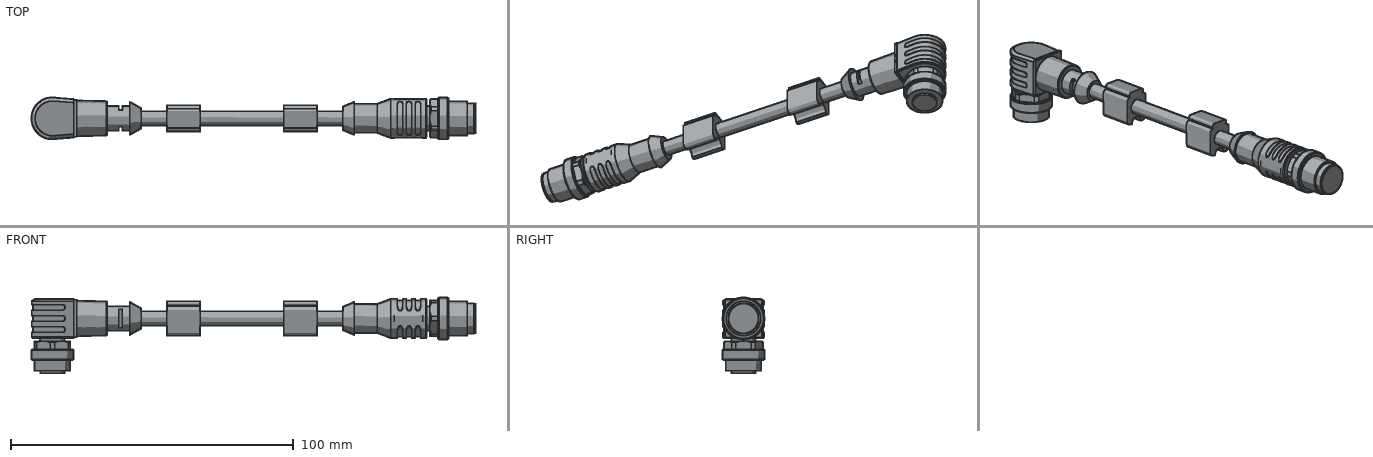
import cadquery as cq
import math

LENGTH = 157.1
CABLE_D = 5.2

NUT_D = 15.0
HEAD_X = NUT_D / 2
HEAD_R = 7.4
HEAD_HALF_H = 6.9
HEAD_END_X = 16.0
HEAD_END_HALF_W = 6.8
HEAD_LIP = 1.0
HEAD_LIP_INSET = 0.24
HEAD_TOP_RUN = 1.3
HEAD_TOP_DROP = 0.8
HEAD_BOTTOM_CHAMFER = 0.4

GRIP_DEPTH = 0.5
GRIP_ROUND = 0.3
HEAD_GROOVE_W = 1.96
HEAD_GROOVE_PITCH = 4.0
HEAD_GROOVE_END_X = 12.0

SLEEVE_D = 12.7
SLEEVE_TIP_D = 12.3
SLEEVE_END_X = 26.9
SLEEVE_CHAMFER = 0.3
RELIEF_D = 8.8
FLANGE_D = 11.8
FLANGE_X = 34.7
FLANGE_TIP_D = 7.2
FLANGE_TIP_X = 38.8
NOTCH_X = 31.0
NOTCH_W = 1.3
NOTCH_HALF_GAP = 3.0

HEX_FLATS = 12.7
HEX_CORNER_D = 13.8
HEX_CHAMFER = 0.5
NUT_CHAMFER = 0.4
NECK_D = 8.8

F_HEX_TOP = -8.0
F_RING_TOP = -10.8
F_RING_BOTTOM = -14.8
F_SHELL_D = 12.7
F_SHELL_BOTTOM = -18.5
F_INSERT_D = 8.6
F_BOTTOM = -19.4

CLIP_STARTS = (47.9, 89.2)
CLIP_LENGTH = 11.8
CLIP_HALF_W = 4.7
CLIP_HALF_H = 6.1
CLIP_LOWER_R = 1.9
CLIP_ARCH_R = 2.2
CLIP_SHOULDER_Z = 4.2
CLIP_SHOULDER_R = 1.4
CLIP_LID_Z = 4.7
CLIP_LID_HALF_W = 3.5
CLIP_LID_R = 1.0

M_START = 110.1
M_START_D = 8.3
M_COLLAR = 114.2
M_COLLAR_D = 11.8
M_BARREL_D = 10.4
M_CONE = 122.4
M_GRIP = 127.1
M_GRIP_D = 14.0
M_GRIP_END = 139.8
M_GRIP_CHAMFER = 0.4
M_HEX = 140.9
M_RING = 143.7
M_SHELL = 147.5
M_SHELL_D = 12.3
M_PIN_SLEEVE = 154.1
M_PIN_SLEEVE_D = 10.8
M_LIP = 156.5
M_LIP_D = 10.5

M_GROOVE_MID = 133.5
M_GROOVE_PITCH = 3.1
M_GROOVE_W = 1.9
M_GROOVE_HALF_LENGTH = 6.0
FLAT_START = 128.4
FLAT_LENGTH = 10.0
FLAT_W = 1.9


def turned_x(stations):
    """Solid of revolution about the X axis from (x, diameter) stations."""
    radii = [(x, d / 2) for x, d in stations]
    outline = [(radii[0][0], 0)] + radii + [(radii[-1][0], 0)]
    return cq.Workplane("XY").polyline(outline).close().revolve(360, (0, 0, 0), (1, 0, 0))


def disc(diameter, start, length):
    return cq.Workplane("XY").workplane(offset=start).circle(diameter / 2).extrude(length)


def coupling_nut(hex_length, ring_length):
    """Nut on +Z: chamfered hexagon from z = 0, with two flats across X, then the ring."""
    across_corners = HEX_FLATS / math.cos(math.pi / 6)
    hexagon = (
        cq.Workplane("XY")
        .polygon(6, across_corners)
        .extrude(hex_length)
        .rotate((0, 0, 0), (0, 0, 1), 30)
    )
    corners = disc(HEX_CORNER_D, 0, hex_length).faces("<Z").chamfer(HEX_CHAMFER)
    ring = disc(NUT_D, hex_length, ring_length).edges().chamfer(NUT_CHAMFER)
    return hexagon.intersect(corners).union(ring)


HEAD_REACH = HEAD_END_X - HEAD_X
HEAD_TANGENT = math.atan2(HEAD_END_HALF_W, HEAD_REACH) + math.acos(
    HEAD_R / math.hypot(HEAD_REACH, HEAD_END_HALF_W)
)


def head_plan(inset, end_x):
    """Closed plan of the head: round at -X, with tapered sides tangent to the arc."""
    radius = HEAD_R - inset
    touch_x = HEAD_X + radius * math.cos(HEAD_TANGENT)
    touch_y = radius * math.sin(HEAD_TANGENT)
    end_y = touch_y - (end_x - touch_x) / math.tan(HEAD_TANGENT)
    return (
        cq.Workplane("XY")
        .moveTo(end_x, -end_y)
        .lineTo(touch_x, -touch_y)
        .threePointArc((HEAD_X - radius, 0), (touch_x, touch_y))
        .lineTo(end_x, end_y)
        .close()
    )


def head_grooves():
    """Three round-ended grooves that wrap around the head."""
    start_x = -HEAD_R
    length = HEAD_GROOVE_END_X - start_x
    cutter = (
        cq.Workplane("XZ")
        .pushPoints([(start_x + length / 2, i * HEAD_GROOVE_PITCH) for i in (-1, 0, 1)])
        .slot2D(length, HEAD_GROOVE_W)
        .extrude(HEAD_R + 1.5, both=True)
    )
    core = head_plan(GRIP_DEPTH, HEAD_END_X).extrude(HEAD_HALF_H, both=True)
    return cutter.cut(core)


def round_rims(solid, is_rim):
    """Round the groove rims: the edges whose middle point meets the test."""
    rims = [edge for edge in solid.edges("not |Z").vals() if is_rim(edge.positionAt(0.5))]
    return solid.newObject(rims).fillet(GRIP_ROUND)


def is_head_rim(point):
    """True on the outer skin of the head, clear of its top and bottom."""
    if abs(point.z) > HEAD_GROOVE_PITCH + HEAD_GROOVE_W:
        return False
    dx = point.x - HEAD_X
    dy = abs(point.y)
    on_round = math.atan2(dy, dx) > HEAD_TANGENT
    if on_round:
        skin_distance = math.hypot(dx, dy)
    else:
        skin_distance = dx * math.cos(HEAD_TANGENT) + dy * math.sin(HEAD_TANGENT)
    return skin_distance > HEAD_R - GRIP_DEPTH / 2


def is_male_rim(point):
    """True on the outer skin of the male grip, above or below its flats and between its ends."""
    between_ends = M_GRIP < point.x - GRIP_ROUND and point.x + GRIP_ROUND < M_GRIP_END
    on_skin = math.hypot(point.y, point.z) > M_GRIP_D / 2 - GRIP_DEPTH / 2
    return between_ends and on_skin and abs(point.z) > FLAT_W


def head():
    height = 2 * HEAD_HALF_H
    body_end = HEAD_END_X - HEAD_LIP
    body = head_plan(0, body_end).extrude(height).translate((0, 0, -HEAD_HALF_H))
    body = body.faces(">Z").edges("not >X").chamfer(HEAD_TOP_DROP, HEAD_TOP_RUN)
    body = body.faces("<Z").edges("not >X").chamfer(HEAD_BOTTOM_CHAMFER)
    body = round_rims(body.cut(head_grooves()), is_head_rim)
    lip_w = 2 * (HEAD_END_HALF_W - HEAD_LIP_INSET)
    lip = (
        cq.Workplane("XY")
        .box(HEAD_LIP, lip_w, height - 2 * HEAD_LIP_INSET, centered=(False, True, True))
        .translate((body_end, 0, 0))
    )
    return body.union(lip)


def female_relief():
    """Conical sleeve, slim neck and flared flange between the head and the cable."""
    relief = turned_x([
        (HEAD_X, SLEEVE_D),
        (HEAD_END_X, SLEEVE_D),
        (SLEEVE_END_X - SLEEVE_CHAMFER, SLEEVE_TIP_D),
        (SLEEVE_END_X, SLEEVE_TIP_D - 2 * SLEEVE_CHAMFER),
        (SLEEVE_END_X, RELIEF_D),
        (FLANGE_X, RELIEF_D),
        (FLANGE_X, FLANGE_D),
        (FLANGE_TIP_X, FLANGE_TIP_D),
    ])
    for side in (-1, 1):
        notch = cq.Workplane("XY").box(NOTCH_W, RELIEF_D, RELIEF_D, centered=(False, True, True))
        relief = relief.cut(notch.translate((NOTCH_X, side * (NOTCH_HALF_GAP + RELIEF_D / 2), 0)))
    return relief


def female_nut():
    nut = coupling_nut(F_HEX_TOP - F_RING_TOP, F_RING_TOP - F_RING_BOTTOM)
    nut = nut.rotate((0, 0, 0), (1, 0, 0), 180).translate((0, 0, F_HEX_TOP))
    neck = disc(NECK_D, F_HEX_TOP, -F_HEX_TOP)
    shell = disc(F_SHELL_D, F_SHELL_BOTTOM, F_RING_BOTTOM - F_SHELL_BOTTOM)
    insert = disc(F_INSERT_D, F_BOTTOM, F_SHELL_BOTTOM - F_BOTTOM)
    return nut.union(neck).union(shell).union(insert).translate((HEAD_X, 0, 0))


def clip():
    """Clip around the cable: lid on two shoulders, with an arched bottom."""
    body_h = CLIP_SHOULDER_Z + CLIP_HALF_H
    body = (
        cq.Workplane("XY")
        .box(CLIP_LENGTH, 2 * CLIP_HALF_W, body_h, centered=(False, True, False))
        .translate((0, 0, -CLIP_HALF_H))
    )
    body = body.faces("<Z").edges("|X").fillet(CLIP_LOWER_R)
    body = body.faces(">Z").edges("|X").fillet(CLIP_SHOULDER_R)
    stem_w = 2 * (CLIP_HALF_W - CLIP_SHOULDER_R)
    stem = (
        cq.Workplane("XY")
        .box(CLIP_LENGTH, stem_w, CLIP_LID_Z, centered=(False, True, False))
    )
    lid = (
        cq.Workplane("XY")
        .box(CLIP_LENGTH, 2 * CLIP_LID_HALF_W, CLIP_HALF_H - CLIP_LID_Z, centered=(False, True, False))
        .translate((0, 0, CLIP_LID_Z))
    )
    lid = lid.faces(">Z").edges("|X").fillet(CLIP_LID_R)
    arch = cq.Workplane("YZ").center(0, -CLIP_HALF_H).circle(CLIP_ARCH_R).extrude(CLIP_LENGTH)
    return body.union(stem).union(lid).cut(arch)


def male_grooves():
    """Round-ended grooves across the top and bottom of the male grip."""
    cutter = (
        cq.Workplane("XY")
        .pushPoints([(M_GROOVE_MID + i * M_GROOVE_PITCH, 0) for i in (-1, 0, 1)])
        .slot2D(2 * M_GROOVE_HALF_LENGTH, M_GROOVE_W, 90)
        .extrude(M_GRIP_D, both=True)
    )
    core_d = M_GRIP_D - 2 * GRIP_DEPTH
    return cutter.cut(turned_x([(M_GRIP, core_d), (M_GRIP_END, core_d)]))


def male_grip():
    """Grip cylinder with its rounded grooves and its two side flats."""
    grip = turned_x([
        (M_GRIP, M_GRIP_D),
        (M_GRIP_END - M_GRIP_CHAMFER, M_GRIP_D),
        (M_GRIP_END, M_GRIP_D - 2 * M_GRIP_CHAMFER),
    ])
    grip = round_rims(grip.cut(male_grooves()), is_male_rim)

    flat_y = math.sqrt((M_GRIP_D / 2) ** 2 - (FLAT_W / 2) ** 2)
    for side in (-1, 1):
        flat = cq.Workplane("XY").box(FLAT_LENGTH, FLAT_W, FLAT_W, centered=(False, True, True))
        grip = grip.cut(flat.translate((FLAT_START, side * (flat_y + FLAT_W / 2), 0)))
    return grip


def male_plug():
    plug = turned_x([
        (M_START, M_START_D),
        (M_COLLAR, M_COLLAR_D),
        (M_COLLAR, M_BARREL_D),
        (M_CONE, M_BARREL_D),
        (M_GRIP, M_GRIP_D),
        (M_GRIP, NECK_D),
        (M_SHELL, NECK_D),
        (M_SHELL, M_SHELL_D),
        (M_PIN_SLEEVE, M_SHELL_D),
        (M_PIN_SLEEVE, M_PIN_SLEEVE_D),
        (M_LIP, M_PIN_SLEEVE_D),
        (M_LIP, M_LIP_D),
        (LENGTH, M_LIP_D),
    ])
    nut = coupling_nut(M_RING - M_HEX, M_SHELL - M_RING)
    nut = nut.rotate((0, 0, 0), (0, 1, 0), 90).translate((M_HEX, 0, 0))
    return plug.union(male_grip()).union(nut)


cable = turned_x([(HEAD_X, CABLE_D), (M_COLLAR, CABLE_D)])
result = cable.union(head()).union(female_relief()).union(female_nut())
for clip_x in CLIP_STARTS:
    result = result.union(clip().translate((clip_x, 0, 0)))
result = result.union(male_plug())